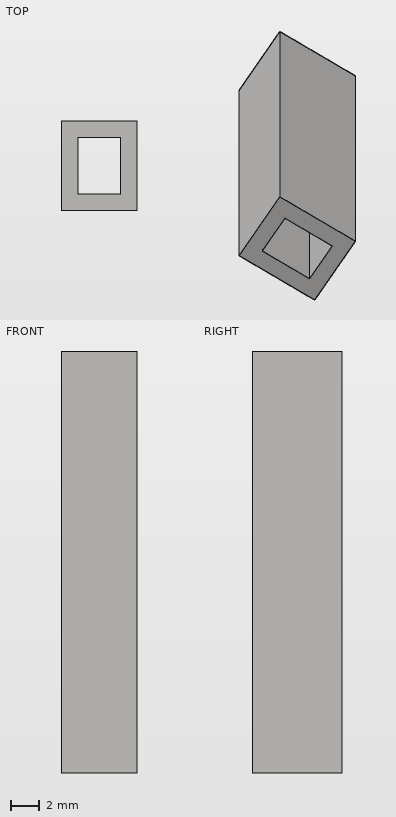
import cadquery as cq

width = 5.4
depth = 6.4
height = 30.0
wall = 1.2

outer = cq.Workplane("XY").rect(width, depth).extrude(height)
bore = cq.Workplane("XY").rect(width - 2 * wall, depth - 2 * wall).extrude(height)

result = outer.cut(bore)